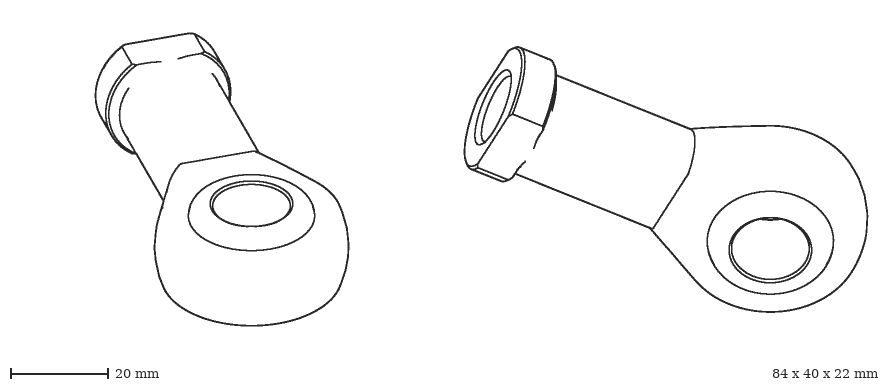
import cadquery as cq
import math

eye_x = 64.0
head_radius = 20.0
head_thickness = 15.0
head_edge_round = 0.5
clearance = 1.0

shank_radius = 11.0
shank_end_x = 41.0
flange_radius = 13.5
flange_length = 8.0
flange_chamfer = 0.5
flange_root_fillet = 1.0
flats_width = 22.0
half_flats = flats_width / 2
half_head = head_thickness / 2
ramp_start_x = shank_end_x - (half_flats - half_head)

bore_diameter = 14.5
bore_mouth_diameter = 16.5
bore_depth = 33.0
bore_cone_angle = 120.0
passage_diameter = 5.0

insert_radius = 13.0
insert_width = 21.0
insert_edge_round = 3.0
pin_hole_diameter = 16.0
pin_hole_chamfer = 0.5


def polar_on_head(angle):
    """Point of the head outline at an angle about the eye centre."""
    return (eye_x + head_radius * math.cos(angle), head_radius * math.sin(angle))


def turned_body():
    """Flange, shank, conical neck and spherical head as one body turned about X."""
    neck_dx = shank_end_x - eye_x
    direction = math.atan2(shank_radius, neck_dx)
    tangent_angle = direction - math.acos(head_radius / math.hypot(neck_dx, shank_radius))
    root_radius = shank_radius + flange_root_fillet
    root_end_x = flange_length + flange_root_fillet
    root_mid_offset = flange_root_fillet * math.cos(math.radians(45))
    root_mid = (root_end_x - root_mid_offset, root_radius - root_mid_offset)
    root_end = (root_end_x, shank_radius)
    profile = (
        cq.Workplane("XY")
        .moveTo(0, 0)
        .lineTo(0, flange_radius - flange_chamfer)
        .lineTo(flange_chamfer, flange_radius)
        .lineTo(flange_length - flange_chamfer, flange_radius)
        .lineTo(flange_length, flange_radius - flange_chamfer)
        .lineTo(flange_length, root_radius)
        .threePointArc(root_mid, root_end)
        .lineTo(shank_end_x, shank_radius)
        .lineTo(*polar_on_head(tangent_angle))
        .threePointArc(polar_on_head(tangent_angle / 2), polar_on_head(0))
        .close()
    )
    return profile.revolve(360, (0, 0, 0), (1, 0, 0))


def side_envelope():
    """Side outline: wrench flats along the shank, 45-degree ramps down to the thin head."""
    head_end_x = eye_x + head_radius + clearance
    outline = [
        (0, half_flats),
        (ramp_start_x, half_flats),
        (shank_end_x, half_head),
        (head_end_x, half_head),
        (head_end_x, -half_head),
        (shank_end_x, -half_head),
        (ramp_start_x, -half_flats),
        (0, -half_flats),
    ]
    return cq.Workplane("XZ").polyline(outline).close().extrude(head_radius + clearance, both=True)


def shank_bore():
    """Blind bore with a chamfered mouth, a conical end and a passage up to the insert."""
    bore_radius = bore_diameter / 2
    mouth_radius = bore_mouth_diameter / 2
    passage_radius = passage_diameter / 2
    cone_length = (bore_radius - passage_radius) / math.tan(math.radians(bore_cone_angle / 2))
    profile = [
        (0, 0),
        (0, mouth_radius),
        (mouth_radius - bore_radius, bore_radius),
        (bore_depth, bore_radius),
        (bore_depth + cone_length, passage_radius),
        (eye_x, passage_radius),
        (eye_x, 0),
    ]
    return cq.Workplane("XY").polyline(profile).close().revolve(360, (0, 0, 0), (1, 0, 0))


def bearing_insert():
    """Round insert standing proud of both head faces, with rounded rims."""
    return (
        cq.Workplane("XY")
        .center(eye_x, 0)
        .circle(insert_radius)
        .extrude(insert_width / 2, both=True)
        .edges()
        .fillet(insert_edge_round)
    )


def pin_hole():
    """Through hole of the insert with chamfered mouths."""
    half_width = insert_width / 2
    hole_radius = pin_hole_diameter / 2
    profile = [
        (0, -half_width),
        (hole_radius + pin_hole_chamfer, -half_width),
        (hole_radius, -half_width + pin_hole_chamfer),
        (hole_radius, half_width - pin_hole_chamfer),
        (hole_radius + pin_hole_chamfer, half_width),
        (0, half_width),
    ]
    cutter = cq.Workplane("XZ").polyline(profile).close().revolve(360, (0, 0, 0), (0, 1, 0))
    return cutter.translate((eye_x, 0, 0))


def round_head_rims(body):
    """Round the rims of both flat head faces, running on along the ramps to the shank."""
    tolerance = 0.01
    rims = []
    for edge in body.edges().vals():
        box = edge.BoundingBox()
        beyond_ramp_start = box.xmin > ramp_start_x - tolerance
        clear_of_middle = max(box.zmin, -box.zmax) > half_head - tolerance
        is_fold = edge.geomType() == "LINE"
        if beyond_ramp_start and clear_of_middle and not is_fold:
            rims.append(edge)
    return body.newObject(rims).fillet(head_edge_round)


body = round_head_rims(turned_body().intersect(side_envelope()))
body = body.cut(shank_bore())
result = body.union(bearing_insert()).cut(pin_hole())